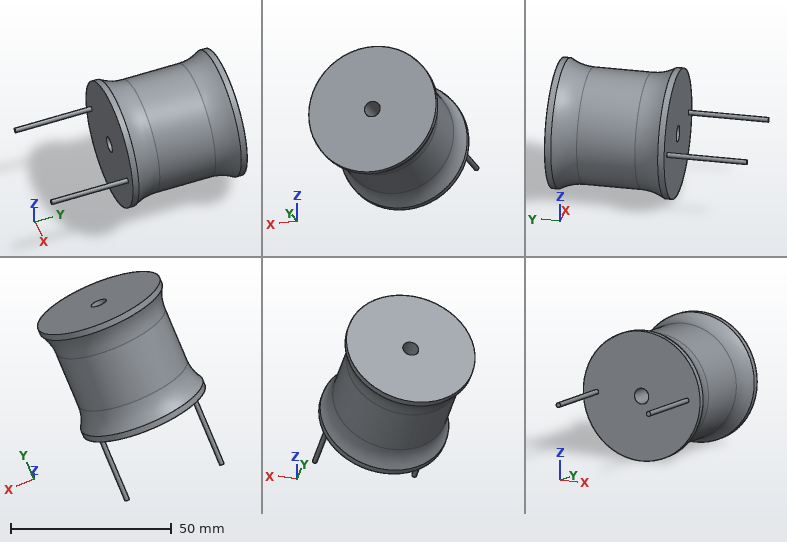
import cadquery as cq
import math

rim_diameter = 41.15
waist_diameter = 36.75
bore_diameter = 5.0
body_length = 38.1
rim_width = 2.05
flare_length = 7.75
lead_diameter = 1.5
lead_length = 25.4
lead_spacing = 31.75

rim_radius = rim_diameter / 2
waist_radius = waist_diameter / 2

flare_height = rim_radius - waist_radius
flare_radius = (flare_length**2 + flare_height**2) / (2 * flare_height)
half_sweep = math.asin(flare_length / flare_radius) / 2
mid_reach = flare_radius * math.sin(half_sweep)
mid_rise = flare_radius * (1 - math.cos(half_sweep))

front_waist_end = rim_width + flare_length
back_waist_end = body_length - front_waist_end
back_rim_start = body_length - rim_width


def make_body():
    """Revolve the flared bobbin, including its axial through bore."""
    bore_radius = bore_diameter / 2
    flare_mid_radius = waist_radius + mid_rise
    profile = (
        cq.Workplane("XY")
        .moveTo(bore_radius, 0)
        .lineTo(rim_radius, 0)
        .lineTo(rim_radius, rim_width)
        .threePointArc(
            (flare_mid_radius, front_waist_end - mid_reach),
            (waist_radius, front_waist_end),
        )
        .lineTo(waist_radius, back_waist_end)
        .threePointArc(
            (flare_mid_radius, back_waist_end + mid_reach),
            (rim_radius, back_rim_start),
        )
        .lineTo(rim_radius, body_length)
        .lineTo(bore_radius, body_length)
        .close()
    )
    return profile.revolve(360, (0, 0, 0), (0, 1, 0))


def make_leads():
    """Two straight wire leads projecting from the face towards -Y."""
    half_spacing = lead_spacing / 2
    return (
        cq.Workplane("XZ")
        .pushPoints([(-half_spacing, 0), (half_spacing, 0)])
        .circle(lead_diameter / 2)
        .extrude(lead_length)
    )


result = make_body().union(make_leads())